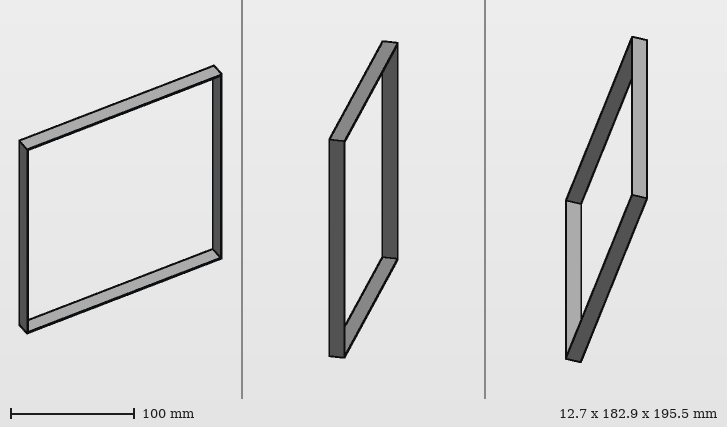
import cadquery as cq

depth = 12.7
width = 182.9
height = 195.5
wall = 1.27

outer = cq.Workplane("XY").box(depth, width, height)
opening = cq.Workplane("XY").box(depth, width - 2 * wall, height - 2 * wall)

result = outer.cut(opening)